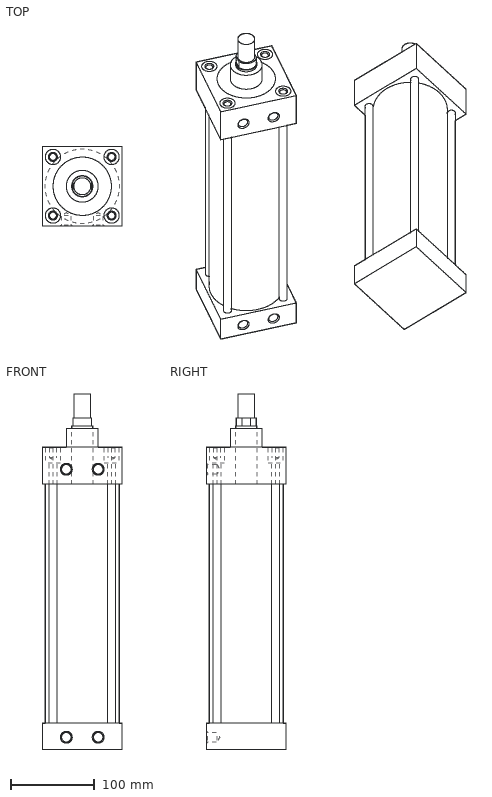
import cadquery as cq
import math

INCH = 25.4

block_side = 3.75 * INCH
overall_height = 16.75 * INCH
cap_height = 1.25 * INCH
barrel_length = 11.25 * INCH
head_height = 1.75 * INCH
head_bottom = cap_height + barrel_length
head_top = head_bottom + head_height

barrel_diameter = 3.5 * INCH
tie_rod_diameter = 0.375 * INCH
tie_rod_pitch = 2.76 * INCH
tie_rod_head_diameter = 0.72 * INCH
tie_rod_head_height = 0.75 * INCH
hole_mouth_diameter = 0.42 * INCH
hole_bore_diameter = 0.32 * INCH
hole_taper_depth = 0.05 * INCH
hole_depth = 0.5 * INCH

gland_diameter = 2.75 * INCH
gland_boss_diameter = 1.5 * INCH
gland_boss_height = 0.875 * INCH
gland_top = head_top + gland_boss_height

rod_diameter = 1.0 * INCH
rod_end_diameter = 0.8 * INCH
wrench_section_diameter = 0.965 * INCH
wrench_flat_width = 0.875 * INCH
rod_end_length = 1.125 * INCH
collar_height = 0.125 * INCH
collar_chamfer = (rod_diameter - wrench_section_diameter) / 2
rod_end_bottom = overall_height - rod_end_length

port_pitch = 1.5 * INCH
port_mouth_diameter = 0.56 * INCH
port_bore_diameter = 0.45 * INCH
port_taper_depth = 0.06 * INCH
port_depth = 0.5 * INCH
cap_port_height = 0.58 * INCH
head_port_height = head_bottom + 0.7 * INCH

drill_tip_angle = 118

tie_rod_points = [
    (x * tie_rod_pitch / 2, y * tie_rod_pitch / 2) for x in (-1, 1) for y in (-1, 1)
]


def cylinder(diameter, bottom, top):
    return cq.Workplane("XY").workplane(offset=bottom).circle(diameter / 2).extrude(top - bottom)


def block(bottom, height):
    return cq.Workplane("XY").workplane(offset=bottom).rect(block_side, block_side).extrude(height)


def drilled_hole(mouth_diameter, bore_diameter, taper_depth, bore_depth):
    """Blind hole going down from the origin: tapered mouth, straight bore and conical drill tip."""
    mouth = mouth_diameter / 2
    bore = bore_diameter / 2
    tip_length = bore / math.tan(math.radians(drill_tip_angle / 2))
    return (
        cq.Workplane("XZ")
        .lineTo(mouth, 0)
        .lineTo(bore, -taper_depth)
        .lineTo(bore, -bore_depth)
        .lineTo(0, -bore_depth - tip_length)
        .close()
        .revolve(360, (0, 0), (0, 1))
    )


def ports(height):
    """Pair of ports entering the front face at the given height."""
    port = drilled_hole(port_mouth_diameter, port_bore_diameter, port_taper_depth, port_depth)
    port = port.rotate((0, 0, 0), (1, 0, 0), 90)
    left_port = port.translate((-port_pitch / 2, -block_side / 2, height))
    return left_port.union(left_port.translate((port_pitch, 0, 0)))


def tie_rod(x, y):
    """Tie rod running from the cap into the head, its drilled head flush with the head's top."""
    shank = cylinder(tie_rod_diameter, cap_height, head_top)
    screw_head = cylinder(tie_rod_head_diameter, head_top - tie_rod_head_height, head_top)
    return shank.union(screw_head).translate((x, y, 0))


def make_barrel():
    """Cap, barrel and tie rods as one body."""
    body = block(0, cap_height).cut(ports(cap_port_height))
    body = body.union(cylinder(barrel_diameter, cap_height, head_bottom))
    tie_rod_hole = drilled_hole(hole_mouth_diameter, hole_bore_diameter, hole_taper_depth, hole_depth)
    for x, y in tie_rod_points:
        hole = tie_rod_hole.translate((x, y, head_top))
        body = body.union(tie_rod(x, y).cut(hole))
    return body


def make_head():
    """Head block with seats for the gland and the tie rods."""
    body = block(head_bottom, head_height).cut(ports(head_port_height))
    body = body.cut(cylinder(gland_diameter, head_bottom, head_top))
    for x, y in tie_rod_points:
        body = body.cut(tie_rod(x, y))
    return body


def make_gland():
    body = cylinder(gland_diameter, head_bottom, head_top)
    body = body.union(cylinder(gland_boss_diameter, head_top, gland_top))
    return body.cut(cylinder(rod_diameter, head_bottom, gland_top))


def make_piston_rod():
    """Piston rod with two wrench flats above a short collar and a reduced end."""
    flats_bottom = gland_top + collar_height
    body = cylinder(rod_diameter, head_bottom, flats_bottom).faces(">Z").chamfer(collar_chamfer)
    flats = (
        cylinder(wrench_section_diameter, flats_bottom, rod_end_bottom)
        .intersect(
            cq.Workplane("XY")
            .workplane(offset=flats_bottom)
            .rect(wrench_flat_width, rod_diameter)
            .extrude(rod_end_bottom - flats_bottom)
        )
    )
    return body.union(flats).union(cylinder(rod_end_diameter, rod_end_bottom, overall_height))


barrel = make_barrel()
head = make_head()
gland = make_gland()
piston_rod = make_piston_rod()

result = cq.Compound.makeCompound([barrel.val(), head.val(), gland.val(), piston_rod.val()])